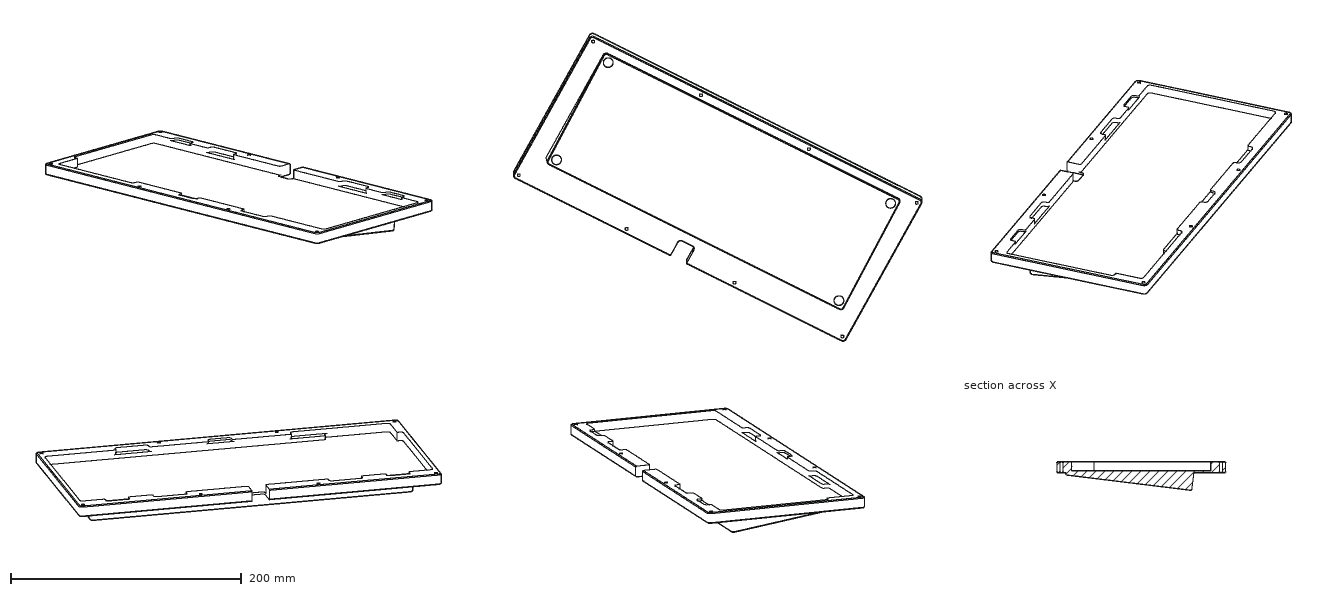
import cadquery as cq
import math

length = 325.3
width = 146.7
plate_thickness = 9.8
corner_radius = 3.0
edge_chamfer = 0.8

pocket_length = 316.5
pocket_width = 120.5
pocket_depth = 7.8
pocket_radius = 2.5
extension_left = -153.2
extension_right = -94.3
extension_back = -41.0

recess_reach = 66.0
wide_recess_length = 30.0
wide_recess_x = 78.7
wide_recess_depth = 4.2
short_recess_length = 20.8
short_recess_x = 126.0
short_recess_depth = 1.8

notch_width = 15.5
notch_front = 56.5
notch_radius = 2.5

mouth_radius = 1.5
position_tolerance = 0.15

hole_diameter = 2.5
hole_inset = 4.2
holes_per_row = 4

total_height = 25.0
foot_length = 290.0
foot_tilt = 7.0
foot_radius = 3.0
foot_chamfer = 0.8
foot_front = -65.7
foot_back = 44.0

pad_diameter = 8.5
pad_depth = 1.0
pad_inset = 6.8


def rounded_block(x_min, x_max, y_min, y_max, z_min, z_max, radius):
    """Box between the given limits with rounded vertical edges."""
    return (
        cq.Workplane("XY", origin=((x_min + x_max) / 2, (y_min + y_max) / 2, z_min))
        .rect(x_max - x_min, y_max - y_min)
        .extrude(z_max - z_min)
        .edges("|Z")
        .fillet(radius)
    )


def make_plate():
    plate = rounded_block(
        -length / 2, length / 2, -width / 2, width / 2, -plate_thickness, 0, corner_radius
    )
    return plate.faces("<Z or >Z").edges().chamfer(edge_chamfer)


def make_foot():
    """Block hinged at its lowest back edge and tilted, trimmed level with the plate underside."""
    tilt = math.radians(foot_tilt)
    depth = (foot_back - foot_front) / math.cos(tilt)
    foot = (
        cq.Workplane("XY")
        .box(foot_length, depth, total_height, centered=(True, True, False))
        .translate((0, -depth / 2, 0))
        .edges("|Z")
        .fillet(foot_radius)
        .faces("<Z")
        .edges()
        .chamfer(foot_chamfer)
    )
    pads = (
        cq.Workplane("XY", origin=(0, -depth / 2, 0))
        .rarray(foot_length - 2 * pad_inset, depth - 2 * pad_inset, 2, 2)
        .circle(pad_diameter / 2)
        .extrude(pad_depth)
    )
    foot = foot.cut(pads).rotate((0, 0, 0), (1, 0, 0), -foot_tilt)
    lowest = foot_chamfer * math.sin(tilt)
    foot = foot.translate((0, foot_back, -total_height - lowest))
    below_plate = (
        cq.Workplane("XY", origin=(0, 0, -plate_thickness))
        .rect(length, width)
        .extrude(-total_height)
    )
    return foot.intersect(below_plate)


def make_recess(x_min, x_max, side, depth):
    """Rounded recess reaching from inside the pocket out into a rim; side is +1 back, -1 front."""
    outer = side * recess_reach
    inner = side * (pocket_width / 2 - 2 * pocket_radius)
    return rounded_block(x_min, x_max, min(inner, outer), max(inner, outer), -depth, 0, pocket_radius)


def make_pocket():
    """Main pocket stepped in at its front left corner, plus the extension into the front rim."""
    half_length = pocket_length / 2
    half_width = pocket_width / 2
    back_part = rounded_block(
        -half_length, half_length, extension_back, half_width, -pocket_depth, 0, pocket_radius
    )
    front_part = rounded_block(
        extension_left, half_length, -half_width, 0, -pocket_depth, 0, pocket_radius
    )
    extension = rounded_block(
        extension_left, extension_right, -recess_reach, 0, -pocket_depth, 0, pocket_radius
    )
    return back_part.union(front_part).union(extension)


def make_notch():
    return rounded_block(
        -notch_width / 2, notch_width / 2, notch_front, width, -plate_thickness, 0, notch_radius
    )


def make_holes():
    spacing_x = (length - 2 * hole_inset) / (holes_per_row - 1)
    spacing_y = width - 2 * hole_inset
    return (
        cq.Workplane("XY")
        .rarray(spacing_x, spacing_y, holes_per_row, 2)
        .circle(hole_diameter / 2)
        .extrude(-plate_thickness)
    )


tray = make_plate().union(make_foot()).cut(make_pocket()).cut(make_notch())

wide_inner = wide_recess_x - wide_recess_length / 2
wide_outer = wide_recess_x + wide_recess_length / 2
short_inner = short_recess_x - short_recess_length / 2
short_outer = short_recess_x + short_recess_length / 2
recesses = [
    (-short_outer, -short_inner, 1, short_recess_depth),
    (-wide_outer, -wide_inner, 1, wide_recess_depth),
    (wide_inner, wide_outer, 1, wide_recess_depth),
    (short_inner, short_outer, 1, short_recess_depth),
    (extension_right - 2 * pocket_radius, -wide_inner, -1, wide_recess_depth),
    (-short_recess_length / 2, short_recess_length / 2, -1, short_recess_depth),
    (wide_inner, wide_outer, -1, wide_recess_depth),
]
for recess in recesses:
    tray = tray.cut(make_recess(*recess))

mouth_reach = short_outer + pocket_radius
for side in (-1, 1):
    wall_y = side * pocket_width / 2
    mouth_corners = cq.selectors.BoxSelector(
        (-mouth_reach, wall_y - position_tolerance, -pocket_depth),
        (mouth_reach, wall_y + position_tolerance, 0),
    )
    tray = tray.edges("|Z").edges(mouth_corners).fillet(mouth_radius)

result = tray.cut(make_holes())